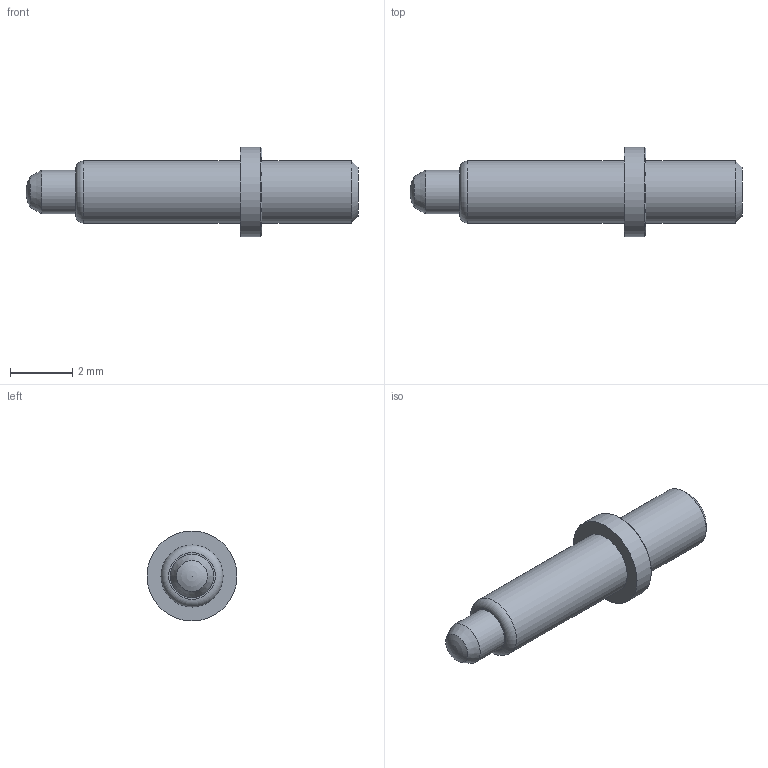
import cadquery as cq
import math

total_length = 10.7
cone_end = 0.5
body_start = 1.6
collar_start = 6.9
collar_thickness = 0.7

plunger_radius = 0.7
body_radius = 1.0
collar_radius = 1.45

dome_radius = 1.0
dome_edge_radius = 0.5

body_front_fillet = 0.25
tail_chamfer = 0.2
collar_rear_chamfer = 0.05


def dome_point(angle):
    """Point on the dome profile, at an angle from the pin axis about the dome centre."""
    return (dome_radius * (1 - math.cos(angle)), dome_radius * math.sin(angle))


def make_cylinder(start, length, radius):
    """Solid cylinder about the X axis, beginning at the given station."""
    return cq.Workplane("YZ", origin=(start, 0, 0)).circle(radius).extrude(length)


def make_plunger():
    """Plunger with a domed tip and a short cone, ending at the front of the body."""
    dome_edge_angle = math.asin(dome_edge_radius / dome_radius)
    return (
        cq.Workplane("XY")
        .moveTo(0, 0)
        .threePointArc(dome_point(dome_edge_angle / 2), dome_point(dome_edge_angle))
        .lineTo(cone_end, plunger_radius)
        .lineTo(body_start, plunger_radius)
        .lineTo(body_start, 0)
        .close()
        .revolve(360, (0, 0, 0), (1, 0, 0))
    )


def make_body():
    """Barrel with a rounded front edge and a chamfered tail."""
    barrel = make_cylinder(body_start, total_length - body_start, body_radius)
    rounded_barrel = barrel.faces("<X").edges().fillet(body_front_fillet)
    return rounded_barrel.faces(">X").edges().chamfer(tail_chamfer)


def make_collar():
    """Stop collar with a small chamfer on its rear edge."""
    collar = make_cylinder(collar_start, collar_thickness, collar_radius)
    return collar.faces(">X").edges().chamfer(collar_rear_chamfer)


result = make_body().union(make_collar()).union(make_plunger())